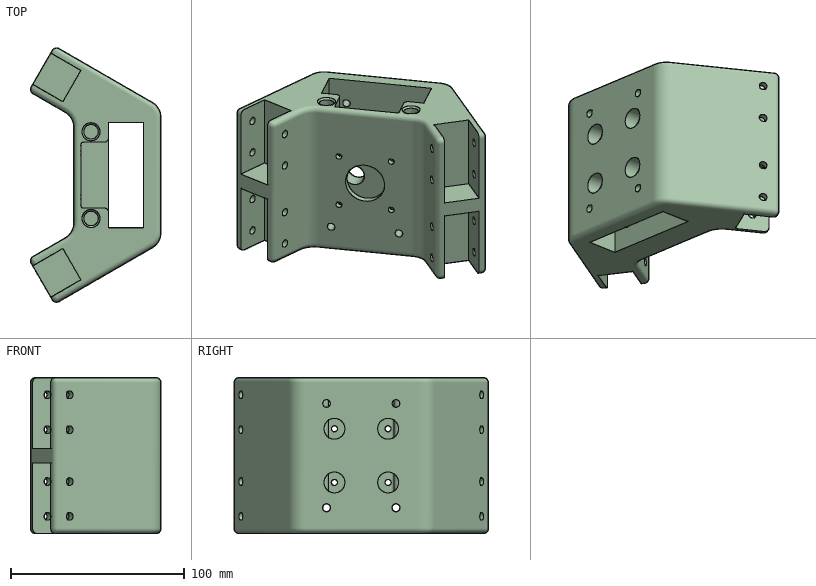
import cadquery as cq
import math

TOTAL_DEPTH = 75.2
TOTAL_WIDTH = 146.7
HEIGHT = 90.0
BODY_DEPTH = 50.3
WING_THICKNESS = 30.0
WING_ANGLE = math.radians(30)

BEND_RADIUS = 10.0
EDGE_RADIUS = 3.0

POCKET_WIDTH = 20.8
POCKET_DEPTH = 20.1
RIB_HEIGHTS = {1: 9.2, -1: 8.4}

SCREW_DIAMETER = 4.4
WING_HOLE_INSET = 10.0
OUTER_HOLE_Z = 10.0
INNER_HOLE_Z = 30.0
WING_HOLE_HEIGHTS = (OUTER_HOLE_Z, INNER_HOLE_Z, HEIGHT - INNER_HOLE_Z, HEIGHT - OUTER_HOLE_Z)

BACK_WALL = 10.1
SLOT_DEPTH = 20.1
SLOT_WIDTH = 60.5
MOTOR_WALL = 4.1
RECESS_WIDTH = 38.0
RECESS_FLOOR = 20.0
RECESS_RADIUS = 1.5
MOUTH_RADIUS = 2.5

SHAFT_HOLE_DIAMETER = 23.0
MOTOR_SCREW_DIAMETER = 3.4
MOTOR_SCREW_SPACING = 31.0
ACCESS_DIAMETER = 12.0

BACK_HOLE_SPACING = 40.0
BACK_HOLE_INSET = 15.0

TOP_HOLE_DIAMETER = 8.4
TOP_HOLE_DEPTH = 20.0
TOP_HOLE_CHAMFER = 1.0
CHAMFER_CONE_ANGLE = 90
TOP_HOLE_X = 10.0
TOP_HOLE_SPACING = 50.0

COS, SIN = math.cos(WING_ANGLE), math.sin(WING_ANGLE)
CORNER_LOSS = EDGE_RADIUS * (COS + SIN - 1)
TIP_INNER_X = BODY_DEPTH - TOTAL_DEPTH - CORNER_LOSS
TIP_OUTER_X = TIP_INNER_X + WING_THICKNESS * SIN
TIP_OUTER_Y = TOTAL_WIDTH / 2 + CORNER_LOSS
TIP_INNER_Y = TIP_OUTER_Y - WING_THICKNESS * COS

BEND_INNER_Y = TIP_INNER_Y + TIP_INNER_X * math.tan(WING_ANGLE)
BEND_OUTER_Y = TIP_OUTER_Y - (BODY_DEPTH - TIP_OUTER_X) * math.tan(WING_ANGLE)

SLOT_BACK = BODY_DEPTH - BACK_WALL
SLOT_FRONT = SLOT_BACK - SLOT_DEPTH
MID_HEIGHT = HEIGHT / 2

PICK_MARGIN = 0.1


def make_body():
    half = [
        (0, BEND_INNER_Y),
        (TIP_INNER_X, TIP_INNER_Y),
        (TIP_OUTER_X, TIP_OUTER_Y),
        (BODY_DEPTH, BEND_OUTER_Y),
    ]
    mirrored = [(x, -y) for x, y in reversed(half)]
    body = cq.Workplane("XY").polyline(half + mirrored).close().extrude(HEIGHT)
    bends = cq.selectors.BoxSelector((-PICK_MARGIN, -TOTAL_WIDTH, 0), (TOTAL_DEPTH, TOTAL_WIDTH, HEIGHT))
    body = body.edges("|Z").edges(bends).fillet(BEND_RADIUS)
    tips = cq.selectors.BoxSelector((-TOTAL_DEPTH, -TOTAL_WIDTH, 0), (-PICK_MARGIN, TOTAL_WIDTH, HEIGHT))
    tip_edges = body.edges("|Z").edges(tips)
    rim_edges = body.faces("<Z or >Z").edges()
    return tip_edges.add(rim_edges).fillet(EDGE_RADIUS)


def wing_frame(side):
    """Plane at the middle of a wing end: local X runs into the wing, local Y across it."""
    origin = ((TIP_INNER_X + TIP_OUTER_X) / 2, side * (TIP_INNER_Y + TIP_OUTER_Y) / 2, 0)
    return cq.Plane(origin=origin, xDir=(COS, -side * SIN, 0), normal=(0, 0, 1))


def make_wing_cuts(side):
    frame = wing_frame(side)
    cuts = cq.Workplane(frame).rect(2 * POCKET_DEPTH, POCKET_WIDTH).extrude(HEIGHT)
    rib = (
        cq.Workplane(frame)
        .workplane(offset=MID_HEIGHT - RIB_HEIGHTS[side] / 2)
        .rect(2 * POCKET_DEPTH, POCKET_WIDTH)
        .extrude(RIB_HEIGHTS[side])
    )
    holes = (
        cq.Workplane(frame)
        .transformed(rotate=(90, 0, 0))
        .pushPoints([(WING_HOLE_INSET, z) for z in WING_HOLE_HEIGHTS])
        .circle(SCREW_DIAMETER / 2)
        .extrude(WING_THICKNESS, both=True)
    )
    return cuts.cut(rib).union(holes)


def x_holes(diameter, points, start, end):
    """Round cutters along X from start to end, at (y, z) points."""
    plane = cq.Workplane("YZ", origin=(start, 0, 0))
    return plane.pushPoints(points).circle(diameter / 2).extrude(end - start)


def make_slot():
    return cq.Workplane("XY", origin=(SLOT_FRONT, 0, 0)).box(
        SLOT_DEPTH, SLOT_WIDTH, HEIGHT, centered=(False, True, False)
    )


def add_motor_recess(body):
    recess = (
        cq.Workplane("XY", origin=(MOTOR_WALL, 0, RECESS_FLOOR))
        .box(SLOT_BACK - MOTOR_WALL, RECESS_WIDTH, HEIGHT - RECESS_FLOOR, centered=(False, True, False))
        .edges("|Z and <X")
        .fillet(RECESS_RADIUS)
    )
    body = body.cut(recess)
    mouth = cq.selectors.BoxSelector(
        (SLOT_FRONT - PICK_MARGIN, -RECESS_WIDTH / 2 - PICK_MARGIN, RECESS_FLOOR),
        (SLOT_FRONT + PICK_MARGIN, RECESS_WIDTH / 2 + PICK_MARGIN, HEIGHT),
    )
    return body.edges("|Z").edges(mouth).fillet(MOUTH_RADIUS)


def cut_motor_holes(body):
    pitch = MOTOR_SCREW_SPACING / 2
    points = [(y, MID_HEIGHT + z) for y in (-pitch, pitch) for z in (-pitch, pitch)]
    body = body.cut(x_holes(SHAFT_HOLE_DIAMETER, [(0, MID_HEIGHT)], 0, SLOT_FRONT))
    body = body.cut(x_holes(MOTOR_SCREW_DIAMETER, points, 0, SLOT_FRONT))
    return body.cut(x_holes(ACCESS_DIAMETER, points, SLOT_BACK, BODY_DEPTH))


def cut_back_holes(body):
    sides = (-BACK_HOLE_SPACING / 2, BACK_HOLE_SPACING / 2)
    lower = [(y, BACK_HOLE_INSET) for y in sides]
    upper = [(y, HEIGHT - BACK_HOLE_INSET) for y in sides]
    body = body.cut(x_holes(SCREW_DIAMETER, lower, 0, BODY_DEPTH))
    return body.cut(x_holes(SCREW_DIAMETER, upper, SLOT_BACK, BODY_DEPTH))


def cut_top_holes(body):
    mouth_diameter = TOP_HOLE_DIAMETER + 2 * TOP_HOLE_CHAMFER
    return (
        body.faces(">Z")
        .workplane(origin=(TOP_HOLE_X, 0, HEIGHT))
        .pushPoints([(0, -TOP_HOLE_SPACING / 2), (0, TOP_HOLE_SPACING / 2)])
        .cskHole(TOP_HOLE_DIAMETER, mouth_diameter, CHAMFER_CONE_ANGLE, TOP_HOLE_DEPTH)
    )


result = make_body()
for wing_side in RIB_HEIGHTS:
    result = result.cut(make_wing_cuts(wing_side))
result = result.cut(make_slot())
result = add_motor_recess(result)
result = cut_motor_holes(result)
result = cut_back_holes(result)
result = cut_top_holes(result)